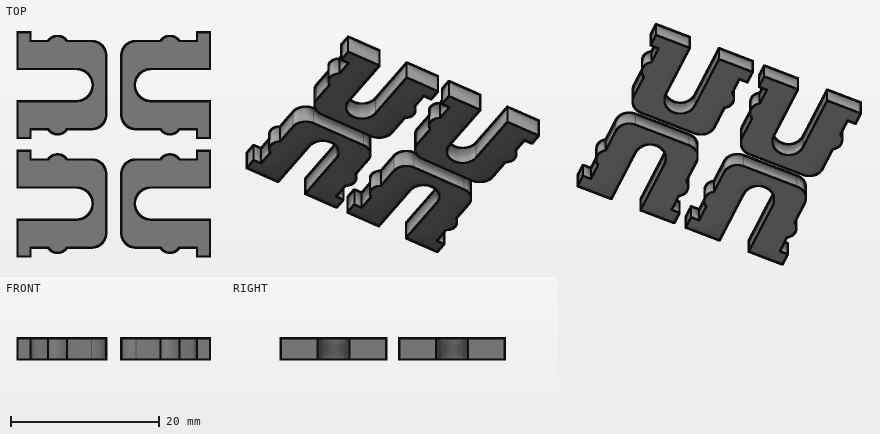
import cadquery as cq

set_length_x = 26.03
set_length_y = 30.3
thickness = 2.9

gap_x = 2.0
clip_length = (set_length_x - gap_x) / 2
clip_width = 14.3
corner_radius = 2.0

tab_length = 1.8
tab_height = 1.18
body_width = clip_width - 2 * tab_height

slot_width = 4.3
slot_depth = 10.15

bump_center_x = 5.42
bump_chord = 2.55
bump_height = 0.7

pitch_y = set_length_y - clip_width


def make_body():
    """Plate with its open end at x = 0 and its closed end rounded."""
    return (
        cq.Workplane("XY")
        .box(clip_length, body_width, thickness, centered=(False, True, True))
        .edges("|Z and >X")
        .fillet(corner_radius)
    )


def make_tabs():
    """Bar across the open end whose ends form the two tabs."""
    return cq.Workplane("XY").box(tab_length, clip_width, thickness, centered=(False, True, True))


def make_bump(side):
    """Circular-segment bump on the leg at side = +1 or -1 in Y."""
    radius = (bump_chord**2 / 4 + bump_height**2) / (2 * bump_height)
    center_y = side * (body_width / 2 + bump_height - radius)
    return (
        cq.Workplane("XY")
        .center(bump_center_x, center_y)
        .circle(radius)
        .extrude(thickness / 2, both=True)
    )


def make_slot():
    """Through slot, open at x = 0 and ending in a half circle."""
    radius = slot_width / 2
    arc_start_x = slot_depth - radius
    return (
        cq.Workplane("XY")
        .moveTo(0, -radius)
        .lineTo(arc_start_x, -radius)
        .threePointArc((slot_depth, 0), (arc_start_x, radius))
        .lineTo(0, radius)
        .close()
        .extrude(thickness / 2, both=True)
    )


def make_clip():
    """One U-shaped clip, opening toward -X, with its open end at x = 0."""
    clip = make_body().union(make_tabs())
    for side in (-1, 1):
        clip = clip.union(make_bump(side))
    return clip.cut(make_slot())


def place_clips():
    """Two rows of two clips, closed ends facing each other across the X gap."""
    left_clip = make_clip().translate((-set_length_x / 2, 0, 0))
    right_clip = left_clip.mirror("YZ")
    clips = []
    for row_y in (-pitch_y / 2, pitch_y / 2):
        for column_clip in (left_clip, right_clip):
            clips.append(column_clip.translate((0, row_y, 0)).val())
    return clips


def single_solid(shape):
    """The one solid held by a boolean result."""
    return shape.Solids()[0]


result = cq.Compound.makeCompound([single_solid(clip) for clip in place_clips()])